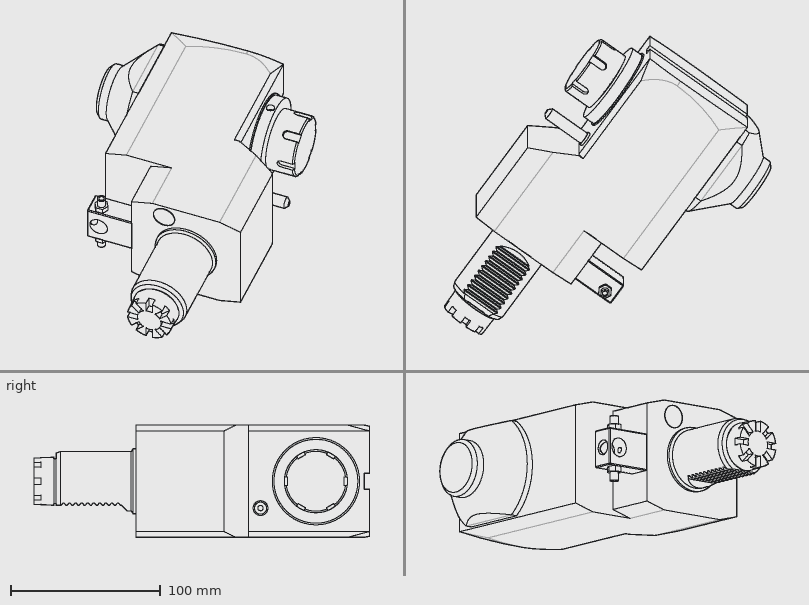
import cadquery as cq
import math


cut_margin = 2.2

height = 75.0
half_height = height / 2
bevel_width = 15.0
bevel_angle = 15.0
bevel_drop = bevel_width * math.tan(math.radians(bevel_angle))
side_half_height = half_height - bevel_drop
head_left = -72.0
head_right = 8.5
head_front = 35.5
head_back = 156.0
head_right_bevel_width = 3.5
base_left = -39.5
base_right = 38.8
slope_start = 58.7
slope_end = 75.0
back_slot_width = 10.5
back_slot_depth = 3.5
crown_apex_x = -16.8
crown_apex_z = 36.7
crown_slope = 0.21
crown_length = 22.5
plug_x = -16.1
plug_z = 27.3
plug_radius = 7.6
plug_depth = 0.5

cross_y = 120.0
cap_end = -105.0
cap_chamfer = 2.5
cap_neck_radius = 19.3
cap_neck_end = -97.0
cap_radius = 39.9
cap_cone_end = cap_neck_end + cap_radius - cap_neck_radius
cap_half_height = 32.3
cap_back_flat = 151.9
ring_radius = 29.1
ring_end = 9.5
flange_radius = 28.0
flange_end = 17.0
flange_hole_radius = 2.7
flange_hole_depth = 4.5
neck_radius = 16.5
nut_radius = 21.0
nut_start = 18.0
nut_end = 38.0
nut_chamfer = 1.1
nut_slot_count = 6
nut_slot_width = 5.5
nut_slot_start = 26.2
nut_slot_depth = 2.2

pin_y = 83.0
pin_z = -18.0
pin_radius = 4.0
pin_base_radius = 5.0
pin_base_end = 10.0
pin_end = 41.0
pin_tip_chamfer = 2.2

collar_radius = 21.7
collar_length = 1.8
collar_taper = 1.3
shank_radius = 20.0
shank_length = 53.3
shank_chamfer_length = 3.1
shank_chamfer_depth = 1.1
groove_radius = 15.0
groove_end = 54.7
clamp_nut_radius = 16.1
clamp_tip_radius = 15.7
clamp_slot_count = 8
clamp_slot_width = 4.5
clamp_slot_length = 5.0
clamp_hub_radius = 8.5
clamp_nut_end = 68.0
rack_ramp_start = 5.5
rack_root = 14.5
rack_tip = 16.1
rack_start = 9.6
rack_pitch = 4.0
rack_tooth_flat = 0.7

block_left = -71.5
block_front = 0.7
block_back = 16.1
block_half_height = 12.5
block_chamfer = 0.7
fitting_x = -63.2
fitting_y = 5.8
hex_diameter = 9.5
hex_top = 16.1
stud_diameter = 5.5
stud_top = 22.0
stud_bore_radius = 1.8
stud_bore_depth = 3.4
front_port_radius = 6.3
side_port_y = 7.6
side_port_radius = 5.0
front_port_depth = 12.3
feed_hole_radius = 1.8


def beveled_bar(left, right, right_bevel, front, back):
    """Bar along Y whose four long edges are bevelled."""
    upper = [
        (left, side_half_height),
        (left + bevel_width, half_height),
        (right - right_bevel, half_height),
        (right, side_half_height),
    ]
    lower = [(x, -z) for x, z in reversed(upper)]
    return (
        cq.Workplane("XZ", origin=(0, front, 0))
        .polyline(upper + lower)
        .close()
        .extrude(front - back)
    )


def turned_on_x(points, y, z):
    """Solid of revolution about a line parallel to X; points are (x, radius)."""
    outline = [(points[0][0], 0)] + points + [(points[-1][0], 0)]
    turned = (
        cq.Workplane("XY")
        .polyline(outline)
        .close()
        .revolve(360, (0, 0), (1, 0))
    )
    return turned.translate((0, y, z))


def crown_cut():
    """Material above the slanted, arched rear edge of the head."""
    def arc_middle(end_x):
        run = end_x - crown_apex_x
        drop = crown_apex_z - side_half_height
        radius = (run**2 + drop**2) / (2 * drop)
        half_angle = math.asin(abs(run) / radius) / 2
        x = crown_apex_x + math.copysign(radius * math.sin(half_angle), run)
        z = crown_apex_z - radius * (1 - math.cos(half_angle))
        return x, z

    top = half_height + cut_margin
    outline = (
        cq.Workplane("XZ", origin=(0, head_back, 0))
        .moveTo(head_left, side_half_height)
        .threePointArc(arc_middle(head_left), (crown_apex_x, crown_apex_z))
        .threePointArc(arc_middle(head_right), (head_right, side_half_height))
        .lineTo(head_right, top)
        .lineTo(head_left, top)
        .close()
    )
    direction = cq.Vector(0, -crown_length, crown_length * crown_slope)
    return cq.Workplane(cq.Solid.extrudeLinear(outline.val(), [], direction))


def housing():
    head = beveled_bar(head_left, head_right, head_right_bevel_width, head_front, head_back)
    crown = crown_cut()
    slot = (
        cq.Workplane("XY")
        .box(
            head_right - head_left,
            back_slot_depth,
            back_slot_width,
            centered=(False, False, True),
        )
        .translate((head_left, head_back - back_slot_depth, 0))
    )
    head = head.cut(crown).cut(crown.mirror("XY")).cut(slot)

    plan = (
        cq.Workplane("XY", origin=(0, 0, -half_height))
        .polyline([
            (base_left, 0),
            (base_right, 0),
            (base_right, slope_start),
            (head_right, slope_end),
            (head_right - head_right_bevel_width, slope_end),
            (base_left, head_front),
        ])
        .close()
        .extrude(height)
    )
    base = beveled_bar(base_left, base_right, bevel_width, 0, slope_end).intersect(plan)
    plug = (
        cq.Workplane("XZ")
        .center(plug_x, plug_z)
        .circle(plug_radius)
        .extrude(-plug_depth)
    )
    return head.union(base).cut(plug)


def rear_cap():
    """Conical cap with a flat at the back and sloped flats above and below."""
    cap = turned_on_x(
        [
            (cap_end, cap_neck_radius - cap_chamfer),
            (cap_end + cap_chamfer, cap_neck_radius),
            (cap_neck_end, cap_neck_radius),
            (cap_cone_end, cap_radius),
            (head_left, cap_radius),
        ],
        cross_y,
        0,
    )
    slope_drop = (cap_cone_end - cap_end) * math.tan(math.radians(bevel_angle))
    upper = [
        (cap_end, cap_half_height - slope_drop),
        (cap_cone_end, cap_half_height),
        (head_left, cap_half_height),
    ]
    lower = [(x, -z) for x, z in reversed(upper)]
    envelope = (
        cq.Workplane("XZ", origin=(0, cap_back_flat, 0))
        .polyline(upper + lower)
        .close()
        .extrude(cap_back_flat - cross_y + cap_radius)
    )
    return cap.intersect(envelope)


def spindle_nose():
    nose = turned_on_x(
        [
            (head_right, ring_radius),
            (ring_end, ring_radius),
            (ring_end, flange_radius),
            (flange_end, flange_radius),
            (flange_end, neck_radius),
            (nut_start, neck_radius),
            (nut_start, nut_radius),
            (nut_end - nut_chamfer, nut_radius),
            (nut_end, nut_radius - nut_chamfer),
        ],
        cross_y,
        0,
    )
    slot_radius = nut_slot_width / 2
    slot = (
        cq.Workplane("XY", origin=(0, 0, nut_radius - nut_slot_depth))
        .moveTo(nut_end, -slot_radius)
        .lineTo(nut_slot_start + slot_radius, -slot_radius)
        .threePointArc((nut_slot_start, 0), (nut_slot_start + slot_radius, slot_radius))
        .lineTo(nut_end, slot_radius)
        .close()
        .extrude(nut_slot_depth + cut_margin)
    )
    step = 360 / nut_slot_count
    for index in range(nut_slot_count):
        turned_slot = slot.rotate((0, 0, 0), (1, 0, 0), step / 2 + index * step)
        nose = nose.cut(turned_slot.translate((0, cross_y, 0)))

    flange_hole = (
        cq.Workplane("XY", origin=(0, 0, flange_radius - flange_hole_depth))
        .center((ring_end + flange_end) / 2, cross_y)
        .circle(flange_hole_radius)
        .extrude(flange_hole_depth + cut_margin)
    )
    return nose.cut(flange_hole)


def locating_pin():
    return turned_on_x(
        [
            (head_right, pin_base_radius),
            (pin_base_end, pin_base_radius),
            (pin_base_end, pin_radius),
            (pin_end - pin_tip_chamfer, pin_radius),
            (pin_end, pin_radius - pin_tip_chamfer),
        ],
        pin_y,
        pin_z,
    )


def rack_cut():
    """Toothed flat along the underside of the shank, open to its tip."""
    flank = (rack_pitch - 2 * rack_tooth_flat) / 2
    below = -shank_radius - cut_margin
    ramp_run = rack_start - rack_ramp_start
    outline = [
        (-rack_ramp_start + cut_margin, below),
        (-rack_ramp_start, -shank_radius),
        (-rack_ramp_start - ramp_run, -rack_tip),
    ]
    tooth_count = math.floor((shank_length - rack_start) / rack_pitch)
    for index in range(tooth_count):
        y = -rack_start - index * rack_pitch
        outline += [
            (y - rack_tooth_flat, -rack_tip),
            (y - rack_tooth_flat - flank, -rack_root),
            (y - 2 * rack_tooth_flat - flank, -rack_root),
            (y - rack_pitch, -rack_tip),
        ]
    outline += [(-shank_length, -rack_tip), (-shank_length, below)]
    return (
        cq.Workplane("YZ")
        .polyline(outline)
        .close()
        .extrude(shank_radius, both=True)
    )


def shank():
    collar_end = collar_length + collar_taper
    tip_start = clamp_nut_end - clamp_slot_length
    profile = [
        (0, 0),
        (collar_radius, 0),
        (collar_radius, -collar_length),
        (shank_radius, -collar_end),
        (shank_radius, -shank_length + shank_chamfer_length),
        (shank_radius - shank_chamfer_depth, -shank_length),
        (groove_radius, -shank_length),
        (groove_radius, -groove_end),
        (clamp_nut_radius, -groove_end),
        (clamp_tip_radius, -clamp_nut_end),
        (0, -clamp_nut_end),
    ]
    body = cq.Workplane("XY").polyline(profile).close().revolve(360, (0, 0), (0, 1))

    hub = cq.Workplane("XZ", origin=(0, -tip_start, 0)).circle(clamp_hub_radius).extrude(clamp_slot_length)
    slot = (
        cq.Workplane("XZ", origin=(0, -tip_start, 0))
        .center(clamp_nut_radius / 2, 0)
        .rect(clamp_nut_radius, clamp_slot_width)
        .extrude(clamp_slot_length)
        .cut(hub)
    )
    for index in range(clamp_slot_count):
        body = body.cut(slot.rotate((0, 0, 0), (0, 1, 0), index * 360 / clamp_slot_count))
    return body.cut(rack_cut())


def coolant_block():
    """Side block with two joined ports, a feed hole and a bored fitting above and below."""
    block = (
        cq.Workplane("XY")
        .box(
            base_left - block_left,
            block_back - block_front,
            2 * block_half_height,
            centered=(False, False, True),
        )
        .translate((block_left, block_front, 0))
        .faces("<X or |Z")
        .edges("not >X")
        .chamfer(block_chamfer)
    )
    front_port = (
        cq.Workplane("XZ", origin=(0, block_front, 0))
        .center(fitting_x, 0)
        .circle(front_port_radius)
        .extrude(-front_port_depth)
    )
    side_port = (
        cq.Workplane("YZ", origin=(block_left, 0, 0))
        .center(side_port_y, 0)
        .circle(side_port_radius)
        .extrude(fitting_x - block_left)
        .faces(">X")
        .workplane()
        .circle(feed_hole_radius)
        .extrude(base_left - fitting_x)
    )
    fitting = (
        cq.Workplane("XY", origin=(0, 0, block_half_height))
        .center(fitting_x, fitting_y)
        .polygon(6, hex_diameter)
        .extrude(hex_top - block_half_height)
        .faces(">Z")
        .workplane()
        .circle(stud_diameter / 2)
        .extrude(stud_top - hex_top)
        .faces(">Z")
        .workplane()
        .hole(2 * stud_bore_radius, stud_bore_depth)
    )
    return block.cut(front_port).cut(side_port).union(fitting).union(fitting.mirror("XY"))


result = (
    housing()
    .union(rear_cap())
    .union(spindle_nose())
    .union(locating_pin())
    .union(shank())
    .union(coolant_block())
)